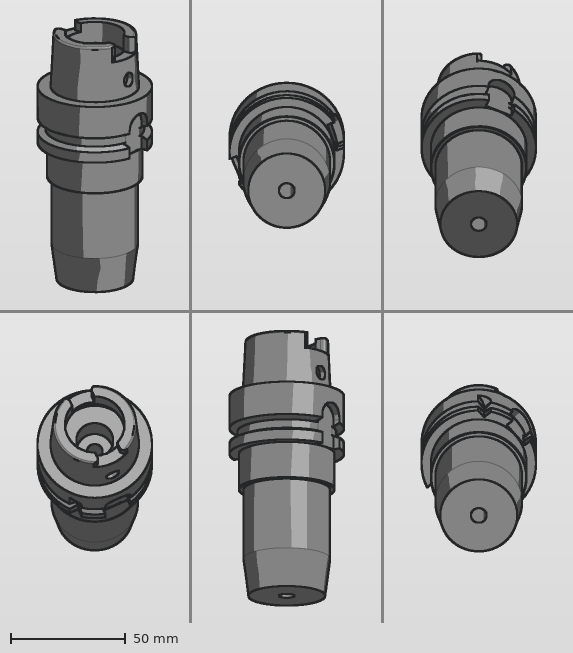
import cadquery as cq
import math

total_length = 115.0
flange_top = 90.0
groove_upper_edge = 75.4
groove_top = 74.0
groove_bottom = 70.2
groove_lower_edge = 68.8
flange_bottom = 63.9
collar_bottom = 47.8
nose_start = 16.7

nose_radius = 16.8
body_radius = 19.0
collar_radius = 20.9
flange_radius = 50.0 / 2
groove_radius = 21.6
shank_base_radius = 19.3
shank_top_radius = 18.0
shank_rounding = 0.9
collar_chamfer = 0.2

mouth_radius = 13.0
mouth_depth = 9.8
cavity_radius = 16.1
cavity_floor = 94.5
thread_radius = 8.0
thread_floor = 80.5
coolant_radius = 6.8 / 2

drive_slot_width = 10.6
shallow_slot_depth = 4.1
deep_slot_depth = 7.4
lobe_corner_radius = 2.0

cross_hole_radius = 6.1 / 2
cross_hole_level = 97.6

gripper_slot_width = 12.2
gripper_slot_top = 83.1
gripper_floor = 21.0

notch_edge = 15.3
notch_floor = 15.9


def holder_body():
    profile = (
        cq.Workplane("XZ")
        .lineTo(nose_radius, 0)
        .lineTo(body_radius, nose_start)
        .lineTo(body_radius, collar_bottom)
        .lineTo(collar_radius - collar_chamfer, collar_bottom)
        .lineTo(collar_radius, collar_bottom + collar_chamfer)
        .lineTo(collar_radius, flange_bottom)
        .lineTo(flange_radius, flange_bottom)
        .lineTo(flange_radius, groove_lower_edge)
        .lineTo(groove_radius, groove_bottom)
        .lineTo(groove_radius, groove_top)
        .lineTo(flange_radius, groove_upper_edge)
        .lineTo(flange_radius, flange_top)
        .lineTo(shank_base_radius, flange_top)
        .lineTo(shank_top_radius, total_length)
        .lineTo(0, total_length)
        .close()
    )
    return profile.revolve(360, (0, 0), (0, 1))


def axial_bore():
    mouth_bottom = total_length - mouth_depth
    profile = (
        cq.Workplane("XZ")
        .lineTo(coolant_radius, 0)
        .lineTo(coolant_radius, thread_floor)
        .lineTo(thread_radius, thread_floor)
        .lineTo(thread_radius, cavity_floor)
        .lineTo(cavity_radius, cavity_floor)
        .lineTo(cavity_radius, mouth_bottom)
        .lineTo(mouth_radius, mouth_bottom)
        .lineTo(mouth_radius, total_length)
        .lineTo(0, total_length)
        .close()
    )
    return profile.revolve(360, (0, 0), (0, 1))


def drive_slot(side, depth):
    """Slot open at the shank end, flared outward by the rounded lobe corners."""
    half_width = drive_slot_width / 2
    corner_y = half_width + lobe_corner_radius
    corner_x = math.sqrt((shank_top_radius - lobe_corner_radius) ** 2 - corner_y**2)
    tangent_scale = shank_top_radius / (shank_top_radius - lobe_corner_radius)
    tangent_x = corner_x * tangent_scale
    tangent_y = corner_y * tangent_scale
    middle_angle = (math.atan2(corner_y, corner_x) - math.pi / 2) / 2
    middle_x = corner_x + lobe_corner_radius * math.cos(middle_angle)
    middle_y = corner_y + lobe_corner_radius * math.sin(middle_angle)
    return (
        cq.Workplane("XY", origin=(0, 0, total_length - depth))
        .moveTo(0, -half_width)
        .lineTo(side * corner_x, -half_width)
        .threePointArc((side * middle_x, -middle_y), (side * tangent_x, -tangent_y))
        .lineTo(side * flange_radius, -tangent_y)
        .lineTo(side * flange_radius, tangent_y)
        .lineTo(side * tangent_x, tangent_y)
        .threePointArc((side * middle_x, middle_y), (side * corner_x, half_width))
        .lineTo(0, half_width)
        .close()
        .extrude(depth)
    )


def flange_slot(side, centre_y, floor):
    """Round-topped slot running down through the flange, with a flat floor facing outward."""
    radius = gripper_slot_width / 2
    spring_level = gripper_slot_top - radius
    outline = (
        cq.Workplane("YZ", origin=(side * floor, 0, 0))
        .moveTo(centre_y - radius, flange_bottom)
        .lineTo(centre_y - radius, spring_level)
        .threePointArc((centre_y, gripper_slot_top), (centre_y + radius, spring_level))
        .lineTo(centre_y + radius, flange_bottom)
        .close()
    )
    return outline.extrude(side * flange_radius)


cross_hole = (
    cq.Workplane("YZ", origin=(0, 0, cross_hole_level))
    .circle(cross_hole_radius)
    .extrude(flange_radius, both=True)
)

result = holder_body().faces(">Z").edges().fillet(shank_rounding)
result = result.cut(axial_bore())
result = result.cut(drive_slot(-1, shallow_slot_depth))
result = result.cut(drive_slot(1, deep_slot_depth))
result = result.cut(cross_hole)
for side in (-1, 1):
    result = result.cut(flange_slot(side, 0, gripper_floor))
result = result.cut(flange_slot(-1, notch_edge + gripper_slot_width / 2, notch_floor))